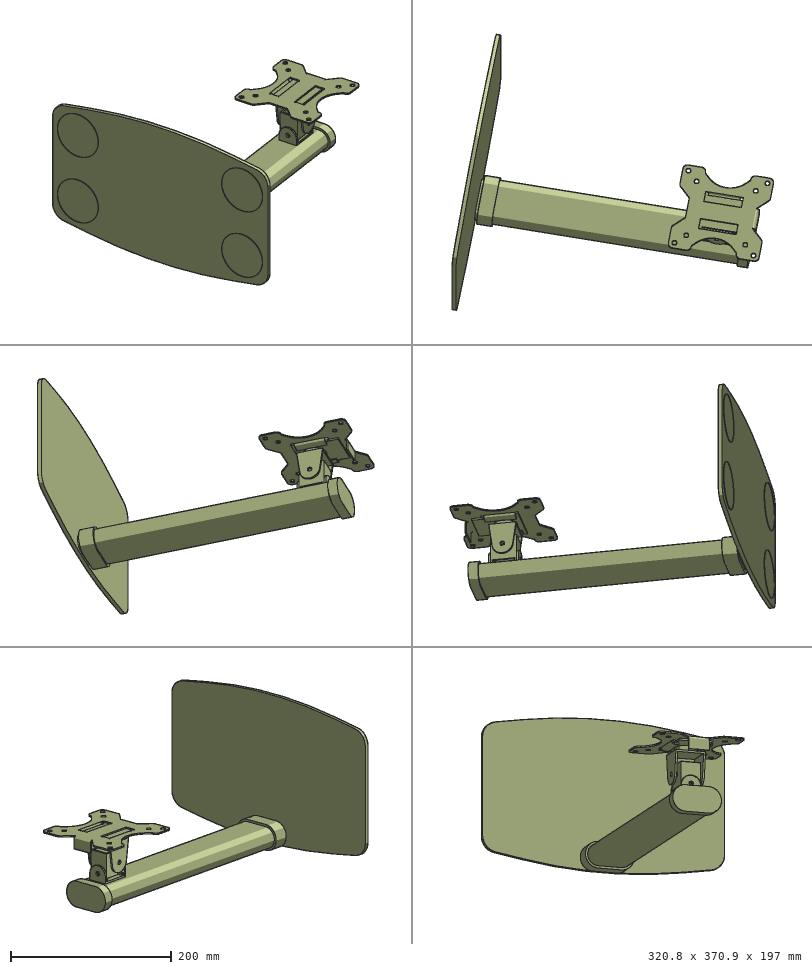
import cadquery as cq
import math


diagonal = math.sqrt(0.5)

flat_half_width = 15.2
collar_radius = 17.0
tube_radius = 14.0
neck_radius = 11.5
collar_length = 19.3
tail_collar_length = 12.5
column_tail_y = 39.0
base_collar_end_y = -304.0
column_axis_z = collar_radius
column_top_z = column_axis_z + tube_radius

base_width = 320.8
base_top_z = 197.0
base_bottom_z = 1.0
base_back_y = -307.5
base_thickness = 5.2
base_arc_half_width = 106.5
base_arc_rise = 8.5
base_corner_radius = 20.0
pad_radius = 30.5
pad_thickness = 0.7
pad_half_spacing_x = 122.5
pad_half_spacing_z = 47.5
base_middle_z = (base_top_z + base_bottom_z) / 2

joint_y = -2.2
pivot_hole_diameter = 5.5
clevis_thickness = 2.5

link_half_x = 13.0
link_half_y = 16.7
link_wall = 2.5
link_top_z = 70.0
link_bottom_radius = 4.0

lower_floor_top_z = column_top_z + clevis_thickness
lower_pivot_z = 42.0
lower_leg_shoulder_z = 39.5
lower_leg_top_z = 52.5

upper_pivot_z = 56.5
upper_leg_radius = 13.5
upper_top_z = 84.5
upper_top_half_y = 17.5
upper_half_x = 19.5

sheet = 2.0
plate_half = 57.5
plate_bottom_z = 94.0
plate_top_z = plate_bottom_z + sheet
arm_corner_radius = 6.0
arm_end_half = 28.5
arm_foot_y = 28.5
waist_edge_offset = 22.0
notch_y = 42.5
waist_half = 35.2
screw_hole_diameter = 6.0
screw_half_spacings = (37.5, 50.0)

slot_outer_x = 25.5
slot_inner_x = 12.0
slot_half_length = 23.7
rail_half_length = 20.0
rail_inner_x = 17.0
rail_inner_radius = 3.5
rail_outer_radius = rail_inner_radius + sheet

lip_half_width = 13.7
lip_bottom_z = 79.0
lip_inner_radius = 2.0
lip_outer_radius = lip_inner_radius + sheet

tongue_top_z = plate_bottom_z
tongue_bottom_z = tongue_top_z - clevis_thickness
tongue_half_width = 22.0
tongue_end_y = 36.5
stop_half_width = 28.0
stop_end_y = -24.0
swivel_bottom_radius = 13.0
swivel_top_radius = 15.2


def block(x_range, y_range, z_range):
    """An axis-aligned block between the given limits."""
    sizes = [high - low for low, high in (x_range, y_range, z_range)]
    corner = (x_range[0], y_range[0], z_range[0])
    return cq.Workplane("XY").box(*sizes, centered=False).translate(corner)


def rod(direction, z, diameter, length):
    """A rod along X or Y, centred on the tilt joint at height z."""
    plane = {"X": "YZ", "Y": "XZ"}[direction]
    return (
        cq.Workplane(plane)
        .circle(diameter / 2)
        .extrude(length / 2, both=True)
        .translate((0, joint_y, z))
    )


def oval_bar(radius, y_start, y_end):
    """A bar along Y with flat top and bottom and half-round sides."""
    return (
        cq.Workplane("XZ", origin=(0, y_end, column_axis_z))
        .slot2D(2 * (flat_half_width + radius), 2 * radius)
        .extrude(y_end - y_start)
    )


def make_column():
    tube = oval_bar(tube_radius, base_collar_end_y, column_tail_y)
    tail_collar = oval_bar(collar_radius, column_tail_y - tail_collar_length, column_tail_y)
    base_collar = oval_bar(collar_radius, base_collar_end_y, base_collar_end_y + collar_length)
    neck = oval_bar(neck_radius, base_back_y, base_collar_end_y)
    return tube.union(tail_collar).union(base_collar).union(neck)


def make_base():
    """The long edges are arcs in the middle and run straight on along their tangents."""
    half_width = base_width / 2
    arc_angle = 2 * math.atan2(base_arc_rise, base_arc_half_width)
    straight_rise = (half_width - base_arc_half_width) * math.tan(arc_angle)
    arc_top_z = base_top_z - base_arc_rise
    arc_bottom_z = base_bottom_z + base_arc_rise
    side_top_z = arc_top_z - straight_rise
    side_bottom_z = arc_bottom_z + straight_rise
    plate = (
        cq.Workplane("XZ", origin=(0, base_back_y, 0))
        .moveTo(-half_width, side_bottom_z)
        .lineTo(-base_arc_half_width, arc_bottom_z)
        .threePointArc((0, base_bottom_z), (base_arc_half_width, arc_bottom_z))
        .lineTo(half_width, side_bottom_z)
        .lineTo(half_width, side_top_z)
        .lineTo(base_arc_half_width, arc_top_z)
        .threePointArc((0, base_top_z), (-base_arc_half_width, arc_top_z))
        .lineTo(-half_width, side_top_z)
        .close()
        .extrude(base_thickness)
        .edges("|Y and (<X or >X)")
        .fillet(base_corner_radius)
    )
    pads = (
        cq.Workplane("XZ", origin=(0, base_back_y - base_thickness, base_middle_z))
        .rect(2 * pad_half_spacing_x, 2 * pad_half_spacing_z, forConstruction=True)
        .vertices()
        .circle(pad_radius)
        .extrude(pad_thickness)
    )
    return plate.union(pads)


def make_lower_clevis():
    half_y = link_half_y + clevis_thickness
    profile = (
        cq.Workplane("XZ")
        .moveTo(-link_half_x, column_top_z)
        .lineTo(link_half_x, column_top_z)
        .lineTo(link_half_x, lower_leg_shoulder_z)
        .threePointArc((0, lower_leg_top_z), (-link_half_x, lower_leg_shoulder_z))
        .close()
        .extrude(half_y, both=True)
        .translate((0, joint_y, 0))
    )
    gap = block(
        (-link_half_x, link_half_x),
        (joint_y - link_half_y, joint_y + link_half_y),
        (lower_floor_top_z, lower_leg_top_z),
    )
    return profile.cut(gap).cut(rod("Y", lower_pivot_z, pivot_hole_diameter, 2 * half_y))


def make_link():
    """A square tube whose Y walls reach the clevis floor; its X walls stop where the rounding starts."""
    height = link_top_z - lower_floor_top_z
    tube = (
        cq.Workplane("XY", origin=(0, joint_y, lower_floor_top_z))
        .rect(2 * link_half_x, 2 * link_half_y)
        .extrude(height)
        .edges("|Y and <Z")
        .fillet(link_bottom_radius)
    )
    inner_half_y = link_half_y - link_wall
    y_range = (joint_y - inner_half_y, joint_y + inner_half_y)
    inner_half_x = link_half_x - link_wall
    bore = block((-inner_half_x, inner_half_x), y_range, (lower_floor_top_z, link_top_z))
    window_top_z = lower_floor_top_z + link_bottom_radius
    window = block((-link_half_x, link_half_x), y_range, (lower_floor_top_z, window_top_z))
    tube = tube.cut(bore).cut(window)
    for direction, z, span in (("X", upper_pivot_z, link_half_x), ("Y", lower_pivot_z, link_half_y)):
        tube = tube.cut(rod(direction, z, pivot_hole_diameter, 2 * span))
    return tube


def upper_clevis():
    """An inverted U whose legs taper down to a round end about the pivot."""
    pivot_to_corner_z = upper_top_z - upper_pivot_z
    corner_distance = math.hypot(upper_top_half_y, pivot_to_corner_z)
    tangent_angle = math.atan2(pivot_to_corner_z, upper_top_half_y) - math.acos(
        upper_leg_radius / corner_distance
    )
    tangent_y = upper_leg_radius * math.cos(tangent_angle)
    tangent_z = upper_pivot_z + upper_leg_radius * math.sin(tangent_angle)
    profile = (
        cq.Workplane("YZ")
        .moveTo(-upper_top_half_y, upper_top_z)
        .lineTo(-tangent_y, tangent_z)
        .threePointArc((0, upper_pivot_z - upper_leg_radius), (tangent_y, tangent_z))
        .lineTo(upper_top_half_y, upper_top_z)
        .close()
        .extrude(upper_half_x, both=True)
        .translate((0, joint_y, 0))
    )
    inner_half_x = upper_half_x - clevis_thickness
    gap = block(
        (-inner_half_x, inner_half_x),
        (joint_y - upper_top_half_y, joint_y + upper_top_half_y),
        (upper_pivot_z - upper_leg_radius, upper_top_z - clevis_thickness),
    )
    return profile.cut(gap).cut(rod("X", upper_pivot_z, pivot_hole_diameter, 2 * upper_half_x))


def make_tilt_head():
    """The upper clevis with its conical swivel neck and the tongue on top."""
    swivel = (
        cq.Workplane("XY", origin=(0, joint_y, upper_top_z))
        .circle(swivel_bottom_radius)
        .workplane(offset=tongue_bottom_z - upper_top_z)
        .circle(swivel_top_radius)
        .loft()
    )
    tongue_z = (tongue_bottom_z, tongue_top_z)
    tongue = block((-tongue_half_width, tongue_half_width), (stop_end_y, tongue_end_y), tongue_z)
    stop = block((-stop_half_width, stop_half_width), (stop_end_y, -rail_half_length), tongue_z)
    return upper_clevis().union(swivel).union(tongue).union(stop)


def arm_plate():
    """A square sheet notched on all four sides, leaving four arms with rounded ends."""
    notch_half_width = arm_end_half - (plate_half - notch_y)
    waist_radius = (waist_half - waist_edge_offset) * diagonal / (1 - diagonal)
    tangent_y = waist_radius * diagonal
    tangent_x = waist_edge_offset + tangent_y
    arm_foot_x = waist_edge_offset + arm_foot_y
    plate = (
        cq.Workplane("XY", origin=(0, 0, plate_bottom_z))
        .moveTo(notch_half_width, notch_y)
        .lineTo(arm_end_half, plate_half)
        .lineTo(plate_half, plate_half)
        .lineTo(plate_half, arm_foot_y)
        .lineTo(arm_foot_x, arm_foot_y)
        .lineTo(tangent_x, tangent_y)
        .threePointArc((waist_half, 0), (tangent_x, -tangent_y))
        .lineTo(arm_foot_x, -arm_foot_y)
        .lineTo(plate_half, -arm_foot_y)
        .lineTo(plate_half, -plate_half)
        .lineTo(arm_end_half, -plate_half)
        .lineTo(notch_half_width, -notch_y)
        .lineTo(0, -notch_y)
        .lineTo(0, notch_y)
        .close()
        .extrude(sheet)
    )
    plate = plate.edges("|Z").edges(">X or >Y or <Y").fillet(arm_corner_radius)
    return plate.union(plate.mirror("YZ"))


def guide_rail():
    """The rail on the +X side: a strip bent down from the slot edge and in under the tongue."""
    wall_x = slot_outer_x + sheet
    bend_x = slot_outer_x - rail_inner_radius
    bend_z = tongue_bottom_z + rail_inner_radius
    return (
        cq.Workplane("XZ")
        .moveTo(slot_outer_x, plate_top_z)
        .lineTo(slot_outer_x, bend_z)
        .threePointArc(
            (bend_x + rail_inner_radius * diagonal, bend_z - rail_inner_radius * diagonal),
            (bend_x, tongue_bottom_z),
        )
        .lineTo(rail_inner_x, tongue_bottom_z)
        .lineTo(rail_inner_x, tongue_bottom_z - sheet)
        .lineTo(bend_x, tongue_bottom_z - sheet)
        .threePointArc(
            (bend_x + rail_outer_radius * diagonal, bend_z - rail_outer_radius * diagonal),
            (wall_x, bend_z),
        )
        .lineTo(wall_x, plate_top_z)
        .close()
        .extrude(rail_half_length, both=True)
    )


def handle_lip():
    """A strip that curves from the +Y notch edge straight down."""
    bend_z = plate_top_z - lip_outer_radius
    return (
        cq.Workplane("YZ")
        .moveTo(notch_y, plate_top_z)
        .threePointArc(
            (notch_y + lip_outer_radius * diagonal, bend_z + lip_outer_radius * diagonal),
            (notch_y + lip_outer_radius, bend_z),
        )
        .lineTo(notch_y + lip_outer_radius, lip_bottom_z)
        .lineTo(notch_y + lip_inner_radius, lip_bottom_z)
        .lineTo(notch_y + lip_inner_radius, bend_z)
        .threePointArc(
            (notch_y + lip_inner_radius * diagonal, bend_z + lip_inner_radius * diagonal),
            (notch_y, plate_bottom_z),
        )
        .close()
        .extrude(lip_half_width, both=True)
    )


def make_monitor_plate():
    plate = arm_plate()
    slot_y = (-slot_half_length, slot_half_length)
    slot_z = (plate_bottom_z, plate_top_z)
    for x_range in ((slot_inner_x, slot_outer_x), (-slot_outer_x, -slot_inner_x)):
        plate = plate.cut(block(x_range, slot_y, slot_z))
    for half_spacing in screw_half_spacings:
        holes = (
            cq.Workplane("XY", origin=(0, 0, plate_bottom_z))
            .rect(2 * half_spacing, 2 * half_spacing, forConstruction=True)
            .vertices()
            .circle(screw_hole_diameter / 2)
            .extrude(sheet)
        )
        plate = plate.cut(holes)
    rail = guide_rail()
    return plate.union(rail).union(rail.mirror("YZ")).union(handle_lip())


column = make_column()
base = make_base()
lower_clevis = make_lower_clevis()
link = make_link()
tilt_head = make_tilt_head()
monitor_plate = make_monitor_plate()

result = cq.Compound.makeCompound(
    [
        column.val(),
        base.val(),
        lower_clevis.val(),
        link.val(),
        tilt_head.val(),
        monitor_plate.val(),
    ]
)